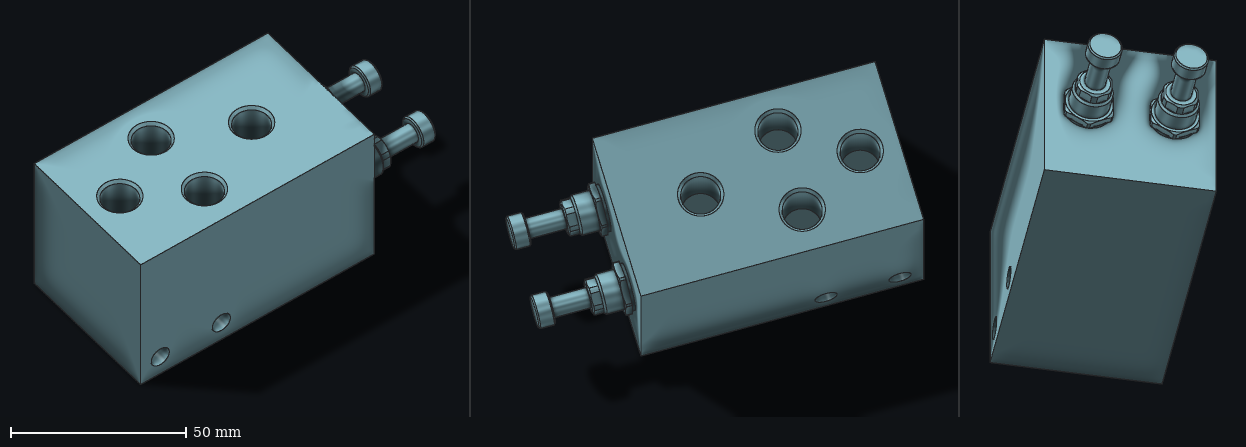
import cadquery as cq
import math

block_width = 50.0
block_height = 50.0
overall_length = 112.0
adjuster_length = 28.0
block_length = overall_length - adjuster_length

port_bore = 11.4
port_mouth = 13.2
port_mouth_angle = 90
port_depth = 15.0
port_row_offset = block_width / 4
front_port_place = 11.6
side_ports_place = 32.5
rear_port_place = 59.0
ports = [
    (0, front_port_place),
    (-port_row_offset, side_ports_place),
    (port_row_offset, side_ports_place),
    (0, rear_port_place),
]

mount_diameter = 6.5
mount_height = 7.0
mount_spacing = 22.0
mount_places = [mount_height, mount_height + mount_spacing]

adjuster_offset = block_width / 4
adjuster_height = block_height / 2
seat_diameter = 14.0
seat_end = 0.9
lock_nut_flats = 14.0
lock_nut_corners = 15.7
lock_nut_face = 13.9
lock_nut_end = 3.0
lock_nut_chamfer = 0.3
barrel_diameter = 12.0
barrel_end = 8.8
barrel_chamfer = 0.7
small_nut_flats = 10.0
small_nut_corners = 10.6
small_nut_face = 9.0
small_nut_end = 12.0
small_nut_chamfer = 0.5
rod_diameter = 6.0
knob_diameter = 10.0
knob_start = 23.1
knob_chamfer = 0.5


def cylinder(diameter, start, end):
    """Cylinder along Z between two distances from the mounting plane."""
    return cq.Workplane("XY").workplane(offset=start).circle(diameter / 2).extrude(end - start)


def hex_nut(flats, corners, outer_face, start, end, chamfer):
    """Hexagon with two flats square to X, rounded corners and a cone on its outer end."""
    across_points = flats / math.cos(math.pi / 6)
    prism = (
        cq.Workplane("XY")
        .workplane(offset=start)
        .transformed(rotate=(0, 0, 30))
        .polygon(6, across_points)
        .extrude(end - start)
    )
    cone_inset = (corners - outer_face) / 2
    envelope = cylinder(corners, start, end).faces(">Z").chamfer(chamfer, cone_inset)
    return prism.intersect(envelope)


def make_adjuster():
    """One adjuster standing on the XY plane, pointing along +Z."""
    barrel = cylinder(barrel_diameter, 0, barrel_end).faces(">Z").chamfer(barrel_chamfer)
    knob = cylinder(knob_diameter, knob_start, adjuster_length).faces("<Z or >Z").chamfer(knob_chamfer)
    lock_nut = hex_nut(
        lock_nut_flats, lock_nut_corners, lock_nut_face, seat_end, lock_nut_end, lock_nut_chamfer
    )
    small_nut = hex_nut(
        small_nut_flats, small_nut_corners, small_nut_face, barrel_end, small_nut_end, small_nut_chamfer
    )
    return (
        cylinder(seat_diameter, 0, seat_end)
        .union(lock_nut)
        .union(barrel)
        .union(small_nut)
        .union(cylinder(rod_diameter, 0, knob_start))
        .union(knob)
    )


result = cq.Workplane("XY").box(block_width, block_length, block_height, centered=(True, False, False))

result = (
    result.faces(">Z")
    .workplane(origin=(0, 0, block_height))
    .pushPoints(ports)
    .cskHole(port_bore, port_mouth, port_mouth_angle, port_depth)
)

mount_holes = (
    cq.Workplane("YZ")
    .pushPoints([(place, mount_height) for place in mount_places])
    .circle(mount_diameter / 2)
    .extrude(block_width / 2, both=True)
)
result = result.cut(mount_holes)

adjuster = make_adjuster().rotate((0, 0, 0), (1, 0, 0), -90)
for side in (-1, 1):
    result = result.union(adjuster.translate((side * adjuster_offset, block_length, adjuster_height)))